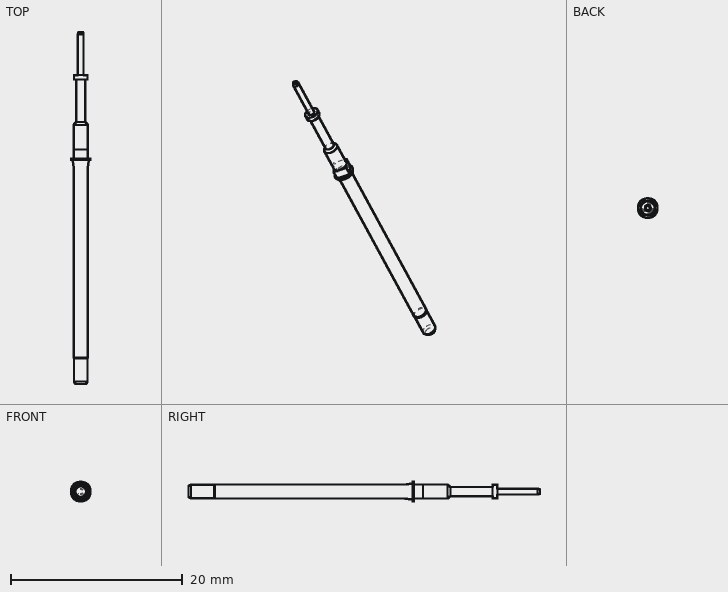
import cadquery as cq


overall_length = 41.0
tail_length = 26.1
pin_length = 5.0
pin_tip_length = 0.3
collar_length = 0.55
neck_length = 4.92
shoulder_length = 0.33
square_length = 1.05
flange_thickness = 0.2
taper_length = 0.9
end_section_length = 3.1
groove_width = 0.1

pin_diameter = 0.7
pin_tip_diameter = 0.5
collar_diameter = 1.6
neck_diameter = 1.1
body_diameter = 1.65
end_section_diameter = 1.6
groove_diameter = 1.5
flange_diameter = 2.3
square_side = 1.65
taper_large_diameter = 1.92
tail_chamfer_depth = 0.18
tail_chamfer_length = 0.3

tail_y = -tail_length
tip_y = overall_length - tail_length
pin_base_y = tip_y - pin_length
collar_base_y = pin_base_y - collar_length
neck_base_y = collar_base_y - neck_length
body_top_y = neck_base_y - shoulder_length
end_section_y = tail_y + end_section_length
square_top_y = flange_thickness + square_length


def frustum(start_y, end_y, start_diameter, end_diameter):
    """Solid of revolution about Y with a straight flank between two stations."""
    return (
        cq.Workplane("XY")
        .moveTo(0, start_y)
        .lineTo(start_diameter / 2, start_y)
        .lineTo(end_diameter / 2, end_y)
        .lineTo(0, end_y)
        .close()
        .revolve(360, (0, 0, 0), (0, 1, 0))
    )


def cylinder(start_y, end_y, diameter):
    """Round section about Y between two stations."""
    return frustum(start_y, end_y, diameter, diameter)


def contact_pin():
    """Thin pin with a slightly tapered tip."""
    tip_base_y = tip_y - pin_tip_length
    shank = cylinder(pin_base_y, tip_base_y, pin_diameter)
    tip = frustum(tip_base_y, tip_y, pin_diameter, pin_tip_diameter)
    return shank.union(tip)


def collar_and_neck():
    """Collar behind the pin, reduced neck and conical shoulder onto the body."""
    collar = cylinder(collar_base_y, pin_base_y, collar_diameter)
    neck = cylinder(neck_base_y, collar_base_y, neck_diameter)
    shoulder = frustum(body_top_y, neck_base_y, body_diameter, neck_diameter)
    return collar.union(neck).union(shoulder)


def square_section():
    """Square shank whose corners are trimmed to the flange diameter."""
    middle_y = (flange_thickness + square_top_y) / 2
    square = cq.Workplane("XY").box(square_side, square_length, square_side).translate((0, middle_y, 0))
    return square.intersect(cylinder(flange_thickness, square_top_y, flange_diameter))


def end_section():
    """Tail cap with a chamfered end, set off from the body by a shallow groove."""
    chamfer_top_y = tail_y + tail_chamfer_length
    cap_top_y = end_section_y - groove_width
    tail_face_diameter = end_section_diameter - 2 * tail_chamfer_depth
    chamfer = frustum(tail_y, chamfer_top_y, tail_face_diameter, end_section_diameter)
    cap = cylinder(chamfer_top_y, cap_top_y, end_section_diameter)
    groove_floor = cylinder(cap_top_y, end_section_y, groove_diameter)
    return chamfer.union(cap).union(groove_floor)


body = cylinder(end_section_y, body_top_y, body_diameter)
body_taper = frustum(-taper_length, 0, body_diameter, taper_large_diameter)
stop_flange = cylinder(0, flange_thickness, flange_diameter)

result = body
for section in (
    contact_pin(),
    collar_and_neck(),
    square_section(),
    stop_flange,
    body_taper,
    end_section(),
):
    result = result.union(section)